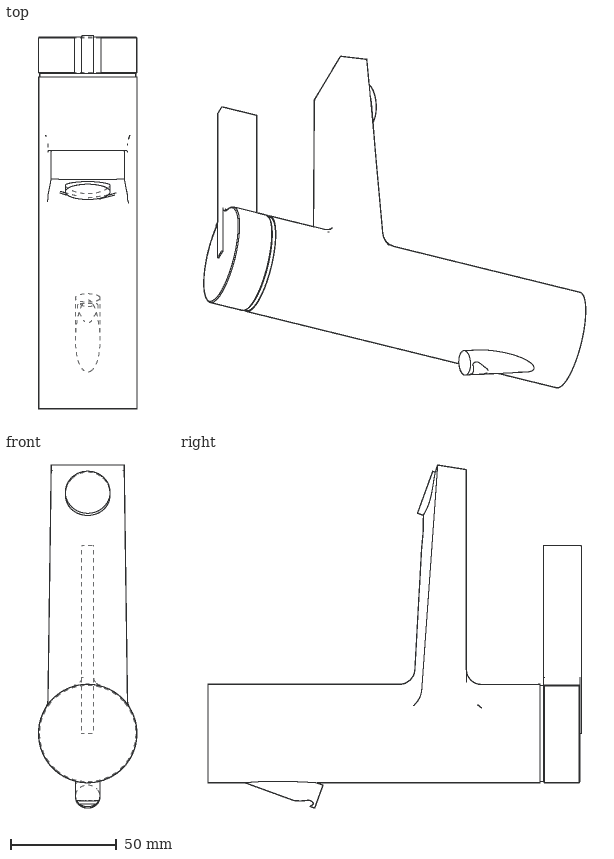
import cadquery as cq
import math

barrel_radius = 23.3
total_length = 176.3
groove_start = 156.7
groove_end = 158.3
groove_depth = 0.5
cap_end = total_length - 0.7
cap_chamfer = 0.5

lever_thickness = 5.6
lever_top = 88.9
lever_edge_round = 0.5
lever_root_radius = 3.5
lever_root_height = 26.5

spout_back = 122.0
spout_top = 126.8
spout_top_front = 108.5
spout_top_tilt = 9.0
spout_shoulder_height = 103.5
spout_top_half_width = 17.3
spout_base_half_width = 19.0
side_edge_at_base = 99.5
bow_at_base = 3.5
bow_at_shoulder = 5.1
bow_at_top = 0.2
spout_edge_round = 0.7
spout_root_radius = 7.0

disc_radius = 10.5
disc_tilt = 20.0
disc_depth = 5.3
disc_center_y = 102.5
disc_center_z = 113.9

rod_radius = 5.8
rod_tilt = 20.0
rod_length = 35.3
rod_end_y = 52.4
rod_end_z = -29.8

lip_width = 2.3
lip_neck = 1.2
notch_floor_end = 4.0
notch_bend = 7.4
notch_end = 10.4
notch_mouth = 4.0
notch_floor = 3.3
notch_bend_height = 5.0


def cylinder_along_y(radius, start, end):
    return cq.Workplane("XZ", origin=(0, start, 0)).circle(radius).extrude(start - end)


def spout_section(height, bow):
    """Closed wire across the spout at the given height."""
    rise = height / spout_top
    half_width = spout_base_half_width + rise * (spout_top_half_width - spout_base_half_width)
    corner = side_edge_at_base + rise * (spout_top_front - side_edge_at_base)
    outline = (
        cq.Workplane("XY", origin=(0, 0, height))
        .moveTo(-half_width, corner)
        .threePointArc((0, corner - bow), (half_width, corner))
        .lineTo(half_width, spout_back)
        .lineTo(-half_width, spout_back)
        .close()
    )
    return outline.val()


def make_spout():
    base = spout_section(0, bow_at_base)
    shoulder = spout_section(spout_shoulder_height, bow_at_shoulder)
    top = spout_section(spout_top, bow_at_top)
    lower = cq.Solid.makeLoft([base, shoulder], True)
    upper = cq.Solid.makeLoft([shoulder, top], True)
    spout = cq.Workplane(lower).union(cq.Workplane(upper))
    depth = spout_back - spout_top_front
    drop = depth * math.tan(math.radians(spout_top_tilt))
    waste = (
        cq.Workplane("YZ")
        .moveTo(spout_top_front, spout_top)
        .lineTo(spout_back, spout_top - drop)
        .lineTo(spout_back, spout_top)
        .close()
        .extrude(spout_base_half_width, both=True)
    )
    return spout.cut(waste)


def make_outlet_disc():
    tilt = math.radians(disc_tilt)
    inward = cq.Vector(0, math.cos(tilt), -math.sin(tilt))
    face_center = cq.Vector(0, disc_center_y, disc_center_z)
    return cq.Workplane(cq.Solid.makeCylinder(disc_radius, disc_depth, face_center, inward))


def make_cap():
    return cylinder_along_y(barrel_radius, groove_end, cap_end).faces("<Y or >Y").chamfer(cap_chamfer)


def make_lever():
    half = lever_thickness / 2
    blade = (
        cq.Workplane("XY")
        .center(0, (groove_end + total_length) / 2)
        .rect(lever_thickness, total_length - groove_end)
        .extrude(lever_top)
        .edges("|Z or >Z")
        .fillet(lever_edge_round)
    )
    r = lever_root_radius
    foot = half + r
    floor = lever_root_height - r
    bend = r * (1 - math.sqrt(0.5))
    root = (
        cq.Workplane("XZ", origin=(0, groove_end, 0))
        .moveTo(-foot, 0)
        .lineTo(-foot, floor)
        .threePointArc((-half - bend, floor + bend), (-half, lever_root_height))
        .lineTo(half, lever_root_height)
        .threePointArc((half + bend, floor + bend), (foot, floor))
        .lineTo(foot, 0)
        .close()
        .extrude(groove_end - cap_end)
    )
    return blade.union(root)


def make_rod():
    """Rod drawn along a local axis from its free end, then tilted up into the barrel."""
    rod = cylinder_along_y(rod_radius, 0, -rod_length)
    notch = (
        cq.Workplane("YZ")
        .moveTo(-lip_width, -rod_radius)
        .lineTo(-lip_neck, -notch_mouth)
        .threePointArc((-lip_width, -notch_floor), (-notch_floor_end, -notch_floor))
        .lineTo(-notch_bend, -notch_bend_height)
        .lineTo(-notch_end, -rod_radius)
        .close()
        .extrude(rod_radius, both=True)
    )
    rod = rod.cut(notch).rotate((0, 0, 0), (1, 0, 0), -rod_tilt)
    return rod.translate((0, rod_end_y, rod_end_z))


def make_body():
    """Barrel with the spout blended into it."""
    barrel = cylinder_along_y(barrel_radius, 0, groove_start)
    body = barrel.union(make_spout())
    side = spout_base_half_width
    root_low = (-side, side_edge_at_base - spout_root_radius, 0)
    root_high = (side, spout_back + spout_root_radius, barrel_radius + spout_root_radius)
    root_edges = cq.selectors.BoxSelector(root_low, root_high, boundingbox=True)
    body = body.edges(root_edges).fillet(spout_root_radius)
    margin = 0.2
    back_low = (-side, spout_back - margin, barrel_radius - spout_root_radius)
    back_high = (side, spout_back + margin, spout_top)
    back_edges = cq.selectors.BoxSelector(back_low, back_high, boundingbox=True)
    return body.edges(back_edges).fillet(spout_edge_round)


groove_core = cylinder_along_y(barrel_radius - groove_depth, groove_start, groove_end)
result = (
    make_body()
    .union(groove_core)
    .union(make_cap())
    .union(make_lever())
    .union(make_outlet_disc())
    .union(make_rod())
)